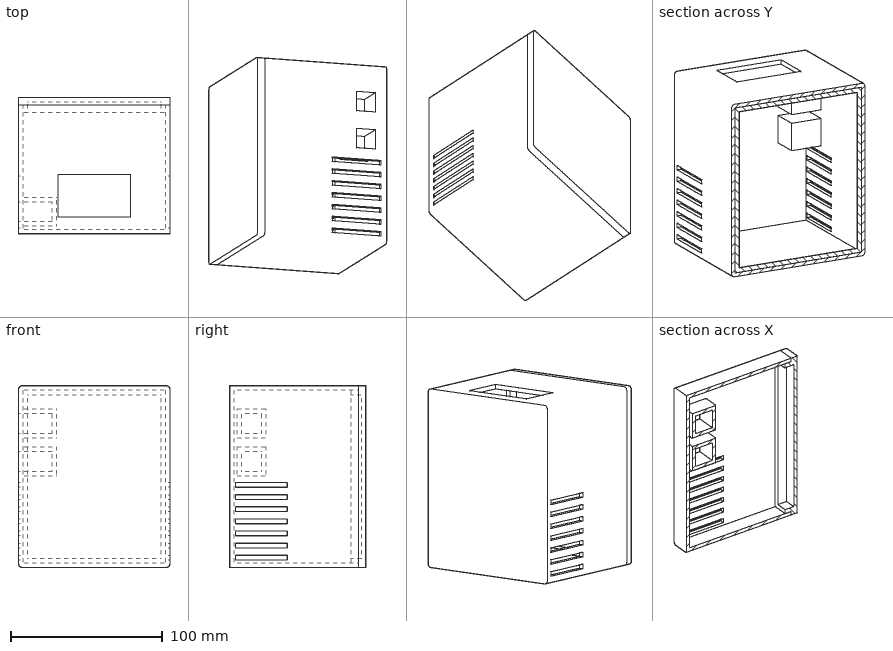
import cadquery as cq

WIDTH = 100.0
DEPTH = 90.0
HEIGHT = 120.0
EDGE_RADIUS = 2.5

WALL = 3.0
LID_DEPTH = 5.0
LID_PLATE = WALL
LIP_LENGTH = 5.0
LIP_THICKNESS = WALL
HOUSING_DEPTH = DEPTH - LID_DEPTH

OPENING_WIDTH = 48.0
OPENING_DEPTH = 28.0
OPENING_FRONT = 11.0

SLOT_COUNT = 7
SLOT_HEIGHT = 3.0
SLOT_PITCH = 8.0
SLOT_LENGTH = 34.0
SLOT_FRONT = 4.0
SLOT_BOTTOM = 5.0

SOCKET_SIZE = 13.0
SOCKET_DEPTH = 22.0
SOCKET_FRONT = 8.0
LOWER_SOCKET_BOTTOM = 63.5
SOCKET_PITCH = 25.0
SOCKET_COUNT = 2


def block(x0, x1, y0, y1, z0, z1):
    """Axis-aligned box between two opposite corners."""
    return cq.Workplane("XY").box(x1 - x0, y1 - y0, z1 - z0, centered=False).translate((x0, y0, z0))


def inset_block(inset, y0, y1):
    """Box inset equally from the left, right, bottom and top outer faces."""
    return block(inset, WIDTH - inset, y0, y1, inset, HEIGHT - inset)


def rounded_block(y0, y1):
    """Full-section box with its four edges along Y rounded."""
    return inset_block(0, y0, y1).edges("|Y").fillet(EDGE_RADIUS)


def socket_block(bottom, margin, depth):
    """Box around one socket, grown by a margin in Y and Z."""
    return block(
        0,
        depth,
        SOCKET_FRONT - margin,
        SOCKET_FRONT + SOCKET_SIZE + margin,
        bottom - margin,
        bottom + SOCKET_SIZE + margin,
    )


def make_housing():
    """Box open at the +Y end, with top opening, vents and sockets."""
    housing = rounded_block(0, HOUSING_DEPTH).cut(inset_block(WALL, WALL, HOUSING_DEPTH))

    for index in range(SOCKET_COUNT):
        bottom = LOWER_SOCKET_BOTTOM + index * SOCKET_PITCH
        housing = housing.union(socket_block(bottom, WALL, SOCKET_DEPTH + WALL))
        housing = housing.cut(socket_block(bottom, 0, SOCKET_DEPTH))

    opening_left = (WIDTH - OPENING_WIDTH) / 2
    housing = housing.cut(
        block(
            opening_left,
            opening_left + OPENING_WIDTH,
            OPENING_FRONT,
            OPENING_FRONT + OPENING_DEPTH,
            HEIGHT - WALL,
            HEIGHT,
        )
    )

    for index in range(SLOT_COUNT):
        bottom = SLOT_BOTTOM + index * SLOT_PITCH
        slot = block(0, WIDTH, SLOT_FRONT, SLOT_FRONT + SLOT_LENGTH, bottom, bottom + SLOT_HEIGHT)
        housing = housing.cut(slot)
    return housing


def make_lid():
    """Cap closing the +Y end, with a hollow lip that plugs into the housing."""
    lip_inset = WALL + LIP_THICKNESS
    lip_start = HOUSING_DEPTH - LIP_LENGTH
    cap = rounded_block(HOUSING_DEPTH, DEPTH)
    cap = cap.cut(inset_block(lip_inset, HOUSING_DEPTH, DEPTH - LID_PLATE))
    lip = inset_block(WALL, lip_start, HOUSING_DEPTH)
    lip = lip.cut(inset_block(lip_inset, lip_start, HOUSING_DEPTH))
    return cap.union(lip, clean=False)


housing = make_housing()
lid = make_lid()

result = cq.Compound.makeCompound([housing.val(), lid.val()])